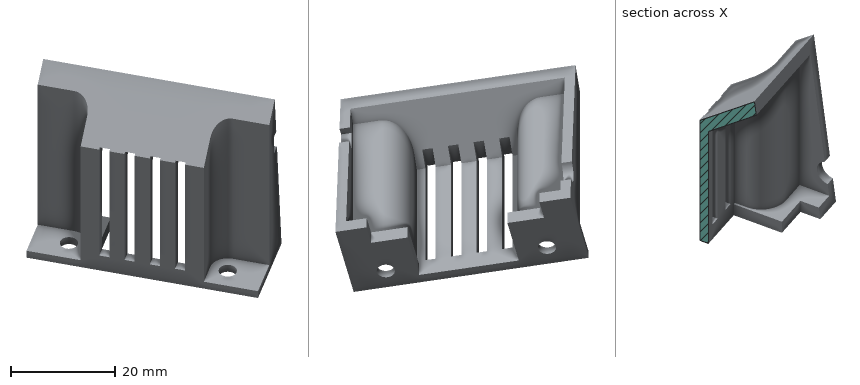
import cadquery as cq

length = 46.0
depth = 17.0
height = 39.7
front_height = 30.0
ridge_y = 12.15
roof_slope = (height - front_height) / ridge_y
back_lean = (depth - ridge_y) / height

corner_length = 10.75
corner_depth = 8.15
corner_radius = 3.5
flange_thickness = 1.7
hole_diameter = 3.5
hole_x = 7.2
hole_y = 4.4

wall = 2.02
roof_drop = 3.65
floor_top = 2.75

opening_inset = 6.05
narrow_inset = 13.25
step_y = 12.65

slot_count = 4
slot_pitch = 5.0
slot_width = 2.02
slot_bottom = 3.7
slot_top = 30.25
slot_depth = 6.9

cable_radius = 2.75
cable_y = 16.7
cable_z = 8.3
notch_bottom = 26.7
notch_top = 30.8
notch_front_y = 11.7

mid_x = length / 2


def box(x0, x1, y0, y1, z0, z1):
    """Box given by its limits along each axis."""
    return cq.Workplane("XY").box(x1 - x0, y1 - y0, z1 - z0, centered=False).translate((x0, y0, z0))


def extrude_side(points, x0, x1):
    """Closed (Y, Z) outline extruded from x0 to x1."""
    return cq.Workplane("YZ", origin=(x0, 0, 0)).polyline(points).close().extrude(x1 - x0)


def make_wedge():
    outline = [(0, 0), (depth, 0), (ridge_y, height), (0, front_height)]
    return extrude_side(outline, 0, length)


def corner_block(bottom, margin):
    """Left front corner volume with a rounded inner edge, grown by margin."""
    block = box(0, corner_length + margin, 0, corner_depth + margin, bottom, height)
    return block.edges("|Z and >X and >Y").fillet(corner_radius + margin)


def both_ends(left):
    """The left-hand shape together with its mirror image at the right end."""
    return left.union(left.mirror("YZ", (mid_x, 0, 0)))


def make_cavity():
    ceiling_front = front_height + roof_slope * wall - roof_drop
    ceiling_back = front_height + roof_slope * depth - roof_drop
    outline = [(wall, floor_top), (depth, floor_top), (depth, ceiling_back), (wall, ceiling_front)]
    cavity = extrude_side(outline, wall, length - wall)
    return cavity.cut(both_ends(corner_block(0, wall)))


def make_floor_opening():
    wide = box(opening_inset, length - opening_inset, step_y, depth, 0, floor_top)
    narrow = box(narrow_inset, length - narrow_inset, wall, depth, 0, floor_top)
    return wide.union(narrow)


def make_slots():
    slots = cq.Workplane("XY")
    for i in range(slot_count):
        x0 = mid_x + (i - (slot_count - 1) / 2) * slot_pitch - slot_width / 2
        slots = slots.add(box(x0, x0 + slot_width, 0, slot_depth, slot_bottom, slot_top))
    return slots.combine()


def make_mounting_holes():
    hole = cq.Workplane("XY").center(hole_x, hole_y).circle(hole_diameter / 2).extrude(flange_thickness)
    return both_ends(hole)


def make_cable_notch():
    return cq.Workplane("YZ").center(cable_y, cable_z).circle(cable_radius).extrude(wall)


def make_square_notch():
    return box(length - wall, length, notch_front_y, depth, notch_bottom, notch_top)


result = (
    make_wedge()
    .cut(both_ends(corner_block(flange_thickness, 0)))
    .cut(make_cavity())
    .cut(make_floor_opening())
    .cut(make_slots())
    .cut(make_mounting_holes())
    .cut(make_cable_notch())
    .cut(make_square_notch())
)